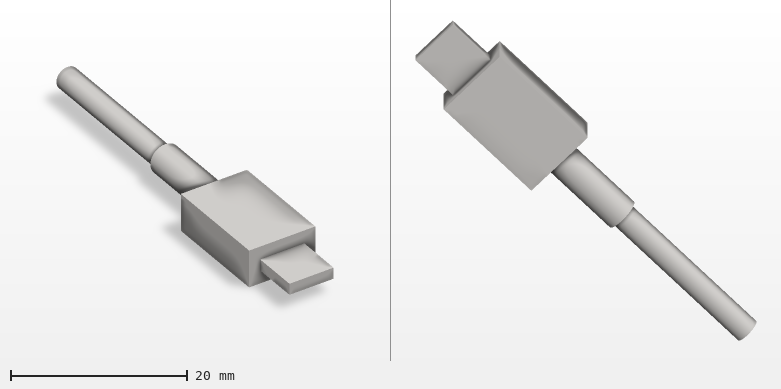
import cadquery as cq

cable_length = 20.0
cable_diameter = 3.0

relief_length = 10.0
relief_diameter = 4.0

housing_length = 14.0
housing_width = 9.0
housing_height = 5.0

plug_length = 6.0
plug_width = 6.0
plug_thickness = 1.5

cable_axis_height = 0.1

housing_start = -housing_length / 2
housing_end = housing_length / 2
relief_start = housing_start - relief_length
cable_start = relief_start - cable_length


def round_section(start, length, diameter):
    """Cylinder along +X on the cable axis, beginning at the given X position."""
    section = cq.Workplane("YZ", origin=(start, 0, cable_axis_height))
    return section.circle(diameter / 2).extrude(length)


def block_section(start, length, width, height):
    """Rectangular block along +X, centred on the X axis."""
    section = cq.Workplane("YZ", origin=(start, 0, 0))
    return section.rect(width, height).extrude(length)


cable = round_section(cable_start, cable_length, cable_diameter)
strain_relief = round_section(relief_start, relief_length, relief_diameter)
housing = block_section(housing_start, housing_length, housing_width, housing_height)
plug = block_section(housing_end, plug_length, plug_width, plug_thickness)

result = housing.union(strain_relief).union(cable).union(plug)